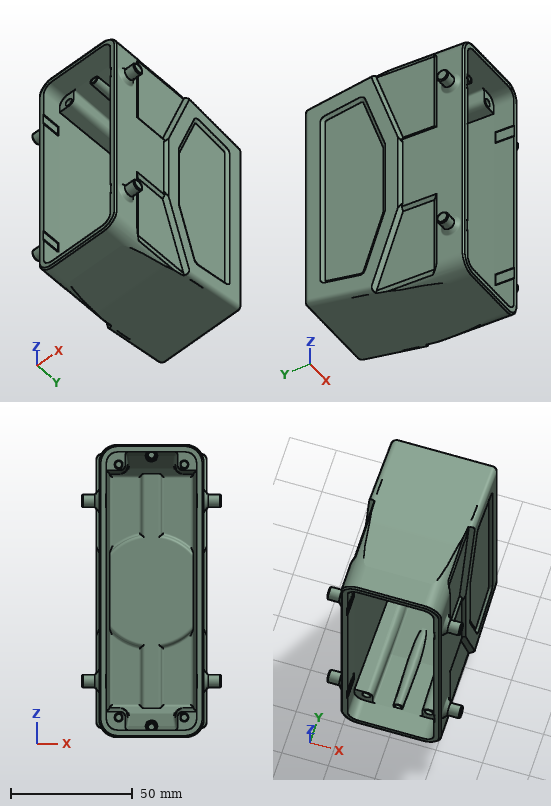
import cadquery as cq
import math


DEPTH = 76.0
HALF_HEIGHT = 60.0
HALF_WIDTH = 21.5
CORNER_RADIUS = 7.5
RIM_CHAMFER = 0.7
HULL_DEPTH = 54.0
BACK_ROUND = 2.4
RAISED_HALF_WIDTH = 22.7

STRAIGHT_END = 11.3
BEND = (32.4, 58.1)
BEND_FLAT = 0.8
BACK_HALF_HEIGHT = 50.6
END_SLOPE = (BEND[1] - BACK_HALF_HEIGHT) / (DEPTH - BEND[0])

SHOULDER_Y = 30.8
SHOULDER_HALF_HEIGHT = 18.4
SLANT = 2.85
SHOULDER_RUN = 3.2
SLANT_RUN = 1.5

RECESS_FLOOR = 20.4
RECESS_RAMP = 1.8
RECESS_Y = 13.0
RECESS_Z = 17.4
RECESS_EDGE_Z = 55.3
RECESS_TIP = (19.7, 57.5)

PANEL_DEPTH = 1.2
PANEL_RAMP = 1.7
PANEL_FRONT = 36.8
PANEL_BACK = 67.9
PANEL_FRONT_HALF = 17.0
PANEL_BACK_HALF = 43.0
PANEL_RADIUS = 2.8

PIN_DIAMETER = 5.4
PIN_SPAN = 57.0
PIN_TIP_X = PIN_SPAN / 2
PIN_TIP_CHAMFER = 0.5
PIN_CONE = 45.0
PIN_FOOT = 1.8
PIN_FOOT_FILLET = 1.0
PIN_Y = 6.2
PIN_Z = 37.0
PIN_GROOVE_DEPTH = 0.4
PIN_GROOVE_LENGTH = 9.0

CAVITY_HALF_WIDTH = 18.5
CAVITY_HALF_HEIGHT = 57.0
CAVITY_RADIUS = 4.5
CAVITY_FLOOR = 72.7
FLOOR_HALF_WIDTH = 17.0
END_WALL = 2.6
CAVITY_END_FOOT = (64.8, 50.2)
FLOOR_HALF_HEIGHT = 47.2
FLOOR_FILLET = 1.1

ISLAND_HEIGHT = 2.4
ISLAND_RADIUS = 22.9
ISLAND_BAR_HALF = 3.7
ISLAND_DRAFT = 15.0
ISLAND_ROUND = 1.3

POST_FACE = 9.6
POST_X = 10.7
POST_Z = 49.5
POST_RADIUS = 2.4
POST_DRAFT = 1.4
POST_FILLET = 1.0
SCREW_X = 13.5
SCREW_Z = 51.8
SCREW_DIAMETER = 3.5
SCREW_END_DIAMETER = 2.8
SCREW_DEPTH = 14.4
RIB_FACE = 10.3
RIB_Z = 55.8
RIB_CENTRES = [(0, RIB_Z), (0, -RIB_Z)]
RIB_DIAMETER = 4.1
RIB_DRAFT = 1.2
RIB_HOLE_DIAMETER = 2.8
RIB_HOLE_DEPTH = 14.4

BEYOND = 36.0


def plane_y(y):
    """Plane across the housing at depth y, facing the back."""
    return cq.Workplane(cq.Plane(origin=(0, y, 0), xDir=(1, 0, 0), normal=(0, 1, 0)))


def plane_x(x):
    """Side plane with local axes Y and Z, facing +X."""
    return cq.Workplane("YZ", origin=(x, 0, 0))


def mirrored_z(half):
    """Close a half outline of (Y, Z) points with its mirror image in Z."""
    return half + [(y, -z) for y, z in reversed(half)]


def slab(outline, half_width):
    """Prism along X with a (Y, Z) outline, centred on X = 0."""
    return plane_x(-half_width).polyline(outline).close().extrude(2 * half_width)


def on_both_sides(shape):
    return shape.union(shape.mirror("YZ"))


def four_corners(x, z):
    """The four points mirrored about X = 0 and Z = 0."""
    return [(sx * x, sz * z) for sx in (-1, 1) for sz in (-1, 1)]


def end_wall_block(half_width):
    """Block bounded by the stepped end walls, with the second step eased."""
    mouth_slope = (HALF_HEIGHT - BEND[1]) / (BEND[0] - STRAIGHT_END)
    half_flat = BEND_FLAT / 2
    half = [
        (0, HALF_HEIGHT),
        (STRAIGHT_END, HALF_HEIGHT),
        (BEND[0] - half_flat, BEND[1] + mouth_slope * half_flat),
        (BEND[0] + half_flat, BEND[1] - END_SLOPE * half_flat),
        (DEPTH, BACK_HALF_HEIGHT),
    ]
    return slab(mirrored_z(half), half_width)


def side_recess():
    """Recess near one corner of the +X side, between sloped walls."""
    outside = RAISED_HALF_WIDTH
    ramp_slope = RECESS_RAMP / (HALF_WIDTH - RECESS_FLOOR)
    ramp_start = ramp_slope * (outside - HALF_WIDTH)
    across = [
        (outside, RECESS_Z - ramp_start),
        (RECESS_FLOOR, RECESS_Z + RECESS_RAMP),
        (RECESS_FLOOR, RECESS_EDGE_Z),
        RECESS_TIP,
        (outside, RECESS_TIP[1]),
    ]
    ramp_end = ramp_slope * (outside - RECESS_TIP[0])
    along = [
        (outside, RECESS_Y - ramp_start),
        (RECESS_TIP[0], RECESS_Y - ramp_start + ramp_end),
        (RECESS_TIP[0], DEPTH),
        (outside, DEPTH),
    ]
    lengthwise = cq.Workplane("XZ").polyline(across).close().extrude(-DEPTH)
    upright = cq.Workplane("XY").polyline(along).close().extrude(HALF_HEIGHT)
    return lengthwise.intersect(upright)


def front_hull():
    """Rim part with rounded corners and four side recesses."""
    hull = plane_y(0).rect(2 * HALF_WIDTH, 2 * HALF_HEIGHT).extrude(HULL_DEPTH)
    hull = hull.edges("|Y").fillet(CORNER_RADIUS)
    hull = hull.faces("<Y").edges().chamfer(RIM_CHAMFER)
    hull = hull.intersect(end_wall_block(BEYOND))
    recesses = on_both_sides(side_recess())
    return hull.cut(recesses).cut(recesses.mirror("XY"))


def shoulder_outline(front, slant_shift):
    """Region behind the shoulder: a middle front edge with two slanted ones."""
    rise = SLANT * (front + slant_shift - SHOULDER_Y)
    vertex_z = SHOULDER_HALF_HEIGHT + rise
    end_y = front + (HALF_HEIGHT - vertex_z) / SLANT
    return mirrored_z([(front, vertex_z), (end_y, HALF_HEIGHT), (DEPTH, HALF_HEIGHT)])


def side_panel():
    """Cutting shape for the panel on the -X side, with sloped walls and rounded corners."""
    height_gap = PANEL_BACK_HALF - PANEL_FRONT_HALF + END_SLOPE * PANEL_BACK + SLANT * PANEL_FRONT
    corner_y = height_gap / (SLANT + END_SLOPE)
    corner_z = PANEL_FRONT_HALF + SLANT * (corner_y - PANEL_FRONT)
    outline = mirrored_z(
        [(PANEL_FRONT, PANEL_FRONT_HALF), (corner_y, corner_z), (PANEL_BACK, PANEL_BACK_HALF)]
    )
    rounded_corners = cq.selectors.BoxSelector(
        (PANEL_FRONT + PANEL_RADIUS, -HALF_HEIGHT, -1.2), (DEPTH, HALF_HEIGHT, 1.2)
    )
    rounded = cq.Sketch().polygon(outline + outline[:1]).vertices(rounded_corners).fillet(PANEL_RADIUS)
    draft = math.degrees(math.atan(PANEL_RAMP / PANEL_DEPTH))
    return plane_x(-RAISED_HALF_WIDTH).placeSketch(rounded).extrude(PANEL_DEPTH, taper=draft)


def broad_back():
    """Wider back part with rounded edges, ramped shoulders and side panels."""
    block = end_wall_block(RAISED_HALF_WIDTH)
    block = block.faces(">X or <X or >Y").edges("not <Y").fillet(BACK_ROUND)
    foot = shoulder_outline(SHOULDER_Y - SHOULDER_RUN, SLANT_RUN)
    crest = shoulder_outline(SHOULDER_Y, 0)
    ramped = (
        plane_x(RECESS_FLOOR)
        .polyline(foot)
        .close()
        .workplane(offset=RAISED_HALF_WIDTH - RECESS_FLOOR)
        .polyline(crest)
        .close()
        .loft(ruled=True)
    )
    middle = slab(foot, RECESS_FLOOR)
    block = block.intersect(middle.union(on_both_sides(ramped)))
    return block.cut(on_both_sides(side_panel()))


def pin():
    """Locking pin on the +X side with a flared foot and a chamfered tip."""
    radius = PIN_DIAMETER / 2
    root = CAVITY_HALF_WIDTH + PIN_GROOVE_DEPTH
    cone_root_r = radius + PIN_FOOT * math.tan(math.radians(PIN_CONE))
    cone_angle = math.radians(PIN_CONE)
    mid_angle = cone_angle / 2
    tangent = PIN_FOOT_FILLET * math.tan(mid_angle)
    fillet_end = (HALF_WIDTH + tangent * math.sin(cone_angle), cone_root_r - tangent * math.cos(cone_angle))
    fillet_mid = (
        HALF_WIDTH + PIN_FOOT_FILLET * (1 - math.cos(mid_angle)),
        cone_root_r + tangent - PIN_FOOT_FILLET * math.sin(mid_angle),
    )
    half_section = (
        cq.Workplane("XY")
        .moveTo(root, 0)
        .lineTo(root, radius)
        .lineTo(HALF_WIDTH, radius)
        .lineTo(HALF_WIDTH, cone_root_r + tangent)
        .threePointArc(fillet_mid, fillet_end)
        .lineTo(HALF_WIDTH + PIN_FOOT, radius)
        .lineTo(PIN_TIP_X - PIN_TIP_CHAMFER, radius)
        .lineTo(PIN_TIP_X, radius - PIN_TIP_CHAMFER)
        .lineTo(PIN_TIP_X, 0)
        .close()
    )
    return half_section.revolve(360, (0, 0, 0), (1, 0, 0))


def corner_posts():
    """Four drafted posts reaching from the cavity floor toward the rim."""
    post = (
        cq.Sketch()
        .push(four_corners(POST_X + BEYOND / 2, POST_Z + BEYOND / 2))
        .rect(BEYOND, BEYOND)
        .reset()
        .vertices()
        .fillet(POST_RADIUS)
    )
    return plane_y(POST_FACE).placeSketch(post).extrude(DEPTH - POST_FACE, taper=-POST_DRAFT)


def end_ribs():
    """Half-round ribs in the middle of both end walls."""
    rib = plane_y(RIB_FACE).pushPoints(RIB_CENTRES).circle(RIB_DIAMETER / 2)
    return rib.extrude(DEPTH - RIB_FACE, taper=-RIB_DRAFT)


def floor_island():
    """Disc crossed by a bar, standing on the cavity floor."""
    shape = cq.Sketch().circle(ISLAND_RADIUS).rect(2 * ISLAND_BAR_HALF, 2 * HALF_HEIGHT).clean()
    island = plane_y(CAVITY_FLOOR - ISLAND_HEIGHT).placeSketch(shape)
    island = island.extrude(ISLAND_HEIGHT, taper=-ISLAND_DRAFT)
    return island.faces("<Y").edges().fillet(ISLAND_ROUND)


def cavity():
    """The hollow space: a straight mouth, then drafted walls down to the floor."""
    mouth = plane_y(0).rect(2 * CAVITY_HALF_WIDTH, 2 * CAVITY_HALF_HEIGHT).extrude(POST_FACE)
    mouth = mouth.edges("|Y").fillet(CAVITY_RADIUS)

    end_profile = mirrored_z(
        [
            (POST_FACE, CAVITY_HALF_HEIGHT),
            (BEND[0], BEND[1] - END_WALL),
            CAVITY_END_FOOT,
            (CAVITY_FLOOR, FLOOR_HALF_HEIGHT),
        ]
    )
    plan = [
        (-CAVITY_HALF_WIDTH, POST_FACE),
        (CAVITY_HALF_WIDTH, POST_FACE),
        (FLOOR_HALF_WIDTH, CAVITY_FLOOR),
        (-FLOOR_HALF_WIDTH, CAVITY_FLOOR),
    ]
    deep = cq.Workplane("XY").polyline(plan).close().extrude(HALF_HEIGHT, both=True)
    deep = deep.intersect(slab(end_profile, BEYOND))
    deep = deep.cut(corner_posts())
    for (x, z), (inner_x, outer_z) in zip(
        four_corners(POST_X, POST_Z), four_corners(POST_X - POST_RADIUS, HALF_HEIGHT)
    ):
        flank = cq.selectors.BoxSelector((x, BEND[0], z), (inner_x, DEPTH, outer_z))
        deep = deep.edges(flank).fillet(POST_FILLET)
    deep = deep.cut(floor_island())
    deep = deep.faces(">Y").edges().fillet(FLOOR_FILLET)
    deep = deep.cut(end_ribs())
    return mouth.union(deep)


def screw_holes():
    """Slightly conical pilot holes in the posts and plain ones in the end ribs."""
    draft = math.degrees(math.atan((SCREW_DIAMETER - SCREW_END_DIAMETER) / 2 / SCREW_DEPTH))
    pilots = plane_y(POST_FACE).pushPoints(four_corners(SCREW_X, SCREW_Z)).circle(SCREW_DIAMETER / 2)
    pilots = pilots.extrude(SCREW_DEPTH, taper=draft)
    rib_holes = plane_y(RIB_FACE).pushPoints(RIB_CENTRES).circle(RIB_HOLE_DIAMETER / 2)
    return pilots.union(rib_holes.extrude(RIB_HOLE_DEPTH))


def pin_grooves():
    """Shallow grooves in the side walls, from the rim to past each pin."""
    centres = [(0, PIN_Z), (0, -PIN_Z)]
    width = 2 * (CAVITY_HALF_WIDTH + PIN_GROOVE_DEPTH)
    return plane_y(0).pushPoints(centres).rect(width, PIN_DIAMETER).extrude(PIN_GROOVE_LENGTH)


result = front_hull().union(broad_back())
result = result.cut(cavity()).cut(pin_grooves()).cut(screw_holes())
for pin_z in (-PIN_Z, PIN_Z):
    result = result.union(on_both_sides(pin().translate((0, PIN_Y, pin_z))))